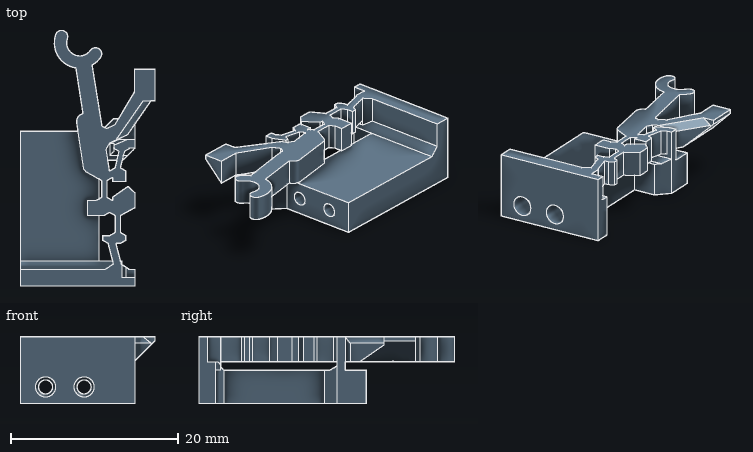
import cadquery as cq
import math

part_height = 8.0
base_height = 4.0
mechanism_bottom = 5.0

wall_width = 13.7
wall_thickness = 2.0
plate_width = 9.4
plate_length = 18.5
ramp_size = 1.0
ramp_end_x = 12.15

notch_wall = 1.05
notch_depth = 3.0
notch_groove_run = 0.47
notch_groove_drop = 0.24

hole_count = 2
hole_spacing = 4.6
hole_first_x = 3.0
hole_z = 2.0
bore_diameter = 2.4
bore_depth = 3.0
narrow_diameter = 1.65
slope_angle = 30.0

block_front_y = 15.0
block_back_y = 20.0
block_corner = 1.5
block_neck_x = 9.6

post_left_x = 11.15
post_front_y = 16.47
post_back_y = 17.5
post_taper_start = (post_left_x, 16.82)
post_taper_end = (12.75, post_back_y)
foot_height = 0.5
foot_side_run = 0.48
foot_front_run = foot_height / math.tan(math.radians(slope_angle))
foot_back_run = 0.4

flexure_half = 0.33
neck_run = 0.65
neck_rise = 0.37
overlap = 0.2

upper_flexure_x = 10.02
upper_flexure_top = 12.6
upper_flexure_bottom = 10.6
upper_left_x = upper_flexure_x - flexure_half
upper_right_x = upper_flexure_x + flexure_half

lower_flexure_x = 11.62
lower_flexure_top = 8.42
lower_flexure_bottom = 6.4
lower_left_x = lower_flexure_x - flexure_half
lower_right_x = lower_flexure_x + flexure_half

anchor_flexure_bottom = 14.12
anchor_flexure_lean = 0.48
anchor_flexure_top = post_front_y - neck_rise

root_center_x = 11.57
root_half_width = 1.45
root_top_y = 2.62
leg_half = 0.48
leg_top_x = 10.93
leg_top_y = 5.1

knuckle_left_x = 9.82
knuckle_right_x = lower_right_x + neck_run
knuckle_back_y = lower_flexure_bottom - neck_rise
knuckle_front_y = 5.47

shuttle_left_x = 7.98
shuttle_back_y = upper_flexure_bottom - neck_rise
shuttle_right_front_y = 9.37
shuttle_right_back_y = 11.1
shuttle_tip = (12.86, 11.92)
shuttle_step_y = 10.63

bracket_right_x = lower_right_x + neck_run
bracket_front_y = 12.47
bracket_back_y = anchor_flexure_bottom - neck_rise

rod_tip_left = (6.55, 26.4)
rod_tip_right = (8.52, 26.7)
rod_foot_left = (7.45, 20.6)
shoulder_middle = (6.9, 20.25)
shoulder_end = (6.7, 19.5)
body_front_left = (7.54, 13.98)
body_front_corner = (7.82, 13.65)
body_right_corner = (10.22, 16.33)
arm_root_front = (10.63, 17.07)
arm_root_back = (11.27, 19.27)
crotch_bottom = (10.3, 18.81)
crotch_left = (9.75, 19.09)

hook_center = (7.08, 29.05)
hook_mid_radius = 2.3
hook_half_width = 0.75
hook_start_angle = 161.0
hook_end_angle = 325.0

pad_left_x = 13.6
pad_right_x = 16.07
pad_front_y = 22.13
pad_back_y = 25.9
pad_edge_height = 0.5
arm_back_corner = (pad_left_x, 23.18)
arm_edge_start = (12.79, 18.08)
arm_edge_end = (15.6, pad_front_y)
arm_chamfer = 0.78


def prism(points, bottom, top):
    """Closed polygon in XY, extruded between two heights."""
    return cq.Workplane("XY").workplane(offset=bottom).polyline(points).close().extrude(top - bottom)


def link(points):
    """Part of the flexible linkage."""
    return prism(points, mechanism_bottom, part_height)


def polar(center, radius, degrees):
    angle = math.radians(degrees)
    return (center[0] + radius * math.cos(angle), center[1] + radius * math.sin(angle))


def make_base():
    plate = cq.Workplane("XY").box(plate_width, plate_length, base_height, centered=False)
    wall = cq.Workplane("XY").box(wall_width, wall_thickness, part_height, centered=False)
    ramp_foot_y = wall_thickness + ramp_size
    ramp = (
        cq.Workplane("YZ")
        .polyline([
            (0, 0),
            (ramp_foot_y, 0),
            (ramp_foot_y, base_height),
            (wall_thickness, base_height + ramp_size),
            (0, base_height + ramp_size),
        ])
        .close()
        .extrude(ramp_end_x)
    )
    return plate.union(wall).union(ramp)


def make_hole(x):
    bore = bore_diameter / 2
    narrow = narrow_diameter / 2
    step_end = bore_depth + (bore - narrow) * math.tan(math.radians(slope_angle))
    return (
        cq.Workplane("XY", origin=(x, 0, hole_z))
        .polyline([
            (0, 0),
            (bore, 0),
            (bore, bore_depth),
            (narrow, step_end),
            (narrow, plate_length),
            (0, plate_length),
        ])
        .close()
        .revolve(360, (0, 0, 0), (0, 1, 0))
    )


def make_block(top):
    """Corner block up to a given height, reaching slightly into the plate."""
    inside_x = plate_width - overlap
    return prism([
        (inside_x, block_front_y),
        (wall_width - block_corner, block_front_y),
        (wall_width, block_front_y + block_corner),
        (wall_width, block_back_y),
        (block_neck_x + block_corner, block_back_y),
        (block_neck_x, block_back_y - block_corner),
        (inside_x, block_back_y - block_corner),
    ], 0, top)


def make_post():
    """Upright anchor with sloped foot, trimmed to the outline of the corner block."""
    post = prism([
        (post_left_x, post_front_y),
        (wall_width, post_front_y),
        (wall_width, post_back_y),
        post_taper_end,
        post_taper_start,
    ], base_height, part_height)
    side_slope = (
        cq.Workplane("XZ", origin=(0, post_back_y, base_height))
        .polyline([
            (post_left_x - foot_side_run, 0),
            (wall_width, 0),
            (wall_width, foot_height),
            (post_left_x, foot_height),
            (post_left_x, foot_side_run * math.tan(math.radians(slope_angle))),
        ])
        .close()
        .extrude(post_back_y - post_front_y + foot_front_run)
    )
    front_slope = (
        cq.Workplane("YZ", origin=(plate_width, 0, base_height))
        .polyline([
            (post_front_y - foot_front_run, 0),
            (post_back_y, 0),
            (post_back_y, foot_height),
            (post_front_y, foot_height),
        ])
        .close()
        .extrude(wall_width - plate_width)
    )
    taper_x = post_taper_end[0] - post_taper_start[0]
    taper_y = post_taper_end[1] - post_taper_start[1]
    taper_plane = cq.Plane(
        origin=(post_taper_start[0], post_taper_start[1], base_height),
        xDir=(taper_y, -taper_x, 0),
        normal=(-taper_x, -taper_y, 0),
    )
    back_slope = (
        cq.Workplane(taper_plane)
        .polyline([(-foot_back_run, 0), (0, foot_height), (wall_width, foot_height), (wall_width, 0)])
        .close()
        .extrude(wall_width, both=True)
    )
    foot = side_slope.intersect(front_slope).intersect(back_slope)
    block_column = make_block(part_height)
    return post.union(foot).intersect(block_column)


def make_hook():
    inner = hook_mid_radius - hook_half_width
    outer = hook_mid_radius + hook_half_width
    middle_angle = (hook_start_angle + hook_end_angle) / 2
    cap_angle = math.degrees(hook_half_width / hook_mid_radius)
    outer_start = polar(hook_center, outer, hook_start_angle)
    outer_end = polar(hook_center, outer, hook_end_angle)
    inner_start = polar(hook_center, inner, hook_start_angle)
    inner_end = polar(hook_center, inner, hook_end_angle)
    start_tip = polar(hook_center, hook_mid_radius, hook_start_angle - cap_angle)
    end_tip = polar(hook_center, hook_mid_radius, hook_end_angle + cap_angle)
    return (
        cq.Workplane("XY").workplane(offset=mechanism_bottom)
        .moveTo(*outer_start)
        .threePointArc(polar(hook_center, outer, middle_angle), outer_end)
        .threePointArc(end_tip, inner_end)
        .threePointArc(polar(hook_center, inner, middle_angle), inner_start)
        .threePointArc(start_tip, outer_start)
        .close()
        .extrude(part_height - mechanism_bottom)
    )


def make_lever():
    """Rod, rounded body and bracket, down to the upper flexure."""
    return (
        cq.Workplane("XY").workplane(offset=mechanism_bottom)
        .moveTo(*rod_tip_left)
        .lineTo(*rod_foot_left)
        .threePointArc(shoulder_middle, shoulder_end)
        .lineTo(*body_front_left)
        .lineTo(*body_front_corner)
        .lineTo(upper_left_x, upper_flexure_top)
        .lineTo(upper_right_x, upper_flexure_top)
        .lineTo(upper_right_x + neck_run, upper_flexure_top + neck_rise)
        .lineTo(upper_right_x + neck_run, bracket_front_y)
        .lineTo(bracket_right_x, bracket_front_y)
        .lineTo(bracket_right_x, bracket_back_y)
        .lineTo(lower_right_x, anchor_flexure_bottom)
        .lineTo(lower_left_x, anchor_flexure_bottom)
        .lineTo(lower_left_x - neck_run, bracket_back_y)
        .lineTo(*body_right_corner)
        .lineTo(*arm_root_front)
        .lineTo(*arm_root_back)
        .lineTo(*crotch_bottom)
        .lineTo(*crotch_left)
        .lineTo(*rod_tip_right)
        .close()
        .extrude(part_height - mechanism_bottom)
    )


def make_side_arm():
    """Branch that ends in a pad, with chamfered outer edge and 45 degree underside."""
    arm = link([
        crotch_bottom,
        arm_root_front,
        arm_edge_start,
        arm_edge_end,
        arm_back_corner,
        arm_root_back,
    ])
    run_x = arm_edge_end[0] - arm_edge_start[0]
    run_y = arm_edge_end[1] - arm_edge_start[1]
    edge_plane = cq.Plane(
        origin=(arm_edge_start[0], arm_edge_start[1], part_height),
        xDir=(run_y, -run_x, 0),
        normal=(run_x, run_y, 0),
    )
    chamfer = (
        cq.Workplane(edge_plane)
        .polyline([(-arm_chamfer, 0), (0, 0), (0, arm_chamfer)])
        .close()
        .extrude(math.hypot(run_x, run_y) + arm_chamfer, both=True)
    )
    pad = link([
        (pad_left_x, pad_front_y),
        (pad_right_x, pad_front_y),
        (pad_right_x, pad_back_y),
        (pad_left_x, pad_back_y),
    ])
    underside_height = part_height - mechanism_bottom - pad_edge_height
    underside = (
        cq.Workplane("XZ", origin=(0, pad_back_y, 0))
        .polyline([
            (pad_right_x - underside_height, mechanism_bottom),
            (pad_right_x, mechanism_bottom),
            (pad_right_x, mechanism_bottom + underside_height),
        ])
        .close()
        .extrude(pad_back_y - block_front_y)
    )
    return arm.cut(chamfer).union(pad).cut(underside)


def make_shuttle():
    """Upper flexure and the block below it."""
    return link([
        (upper_left_x, upper_flexure_top + overlap),
        (upper_left_x, upper_flexure_bottom),
        (upper_left_x - neck_run, shuttle_back_y),
        (shuttle_left_x, shuttle_back_y),
        (shuttle_left_x, lower_flexure_top),
        (lower_left_x - 2 * neck_run, lower_flexure_top),
        (lower_left_x - neck_run, lower_flexure_top + neck_rise),
        (lower_left_x, lower_flexure_top),
        (lower_right_x, lower_flexure_top),
        (wall_width, shuttle_right_front_y),
        (wall_width, shuttle_right_back_y),
        shuttle_tip,
        (upper_right_x + neck_run, shuttle_step_y),
        (upper_right_x + neck_run, shuttle_back_y),
        (upper_right_x, upper_flexure_bottom),
        (upper_right_x, upper_flexure_top + overlap),
    ])


def make_knuckle():
    """Lower flexure, knuckle and the leaning leg that reaches the wall root."""
    return link([
        (lower_left_x, lower_flexure_top + overlap),
        (lower_left_x, lower_flexure_bottom),
        (lower_left_x - neck_run, knuckle_back_y),
        (knuckle_left_x, knuckle_back_y),
        (knuckle_left_x, knuckle_front_y),
        (leg_top_x - leg_half, leg_top_y),
        (root_center_x - leg_half, root_top_y),
        (root_center_x + leg_half, root_top_y),
        (leg_top_x + leg_half, leg_top_y),
        (knuckle_right_x - neck_run, leg_top_y),
        (knuckle_right_x, knuckle_front_y),
        (knuckle_right_x, knuckle_back_y),
        (lower_right_x, lower_flexure_bottom),
        (lower_right_x, lower_flexure_top + overlap),
    ])


def make_root():
    """Tapered foot of the leg on the back of the wall."""
    return prism([
        (root_center_x - root_half_width, wall_thickness),
        (root_center_x - leg_half, root_top_y),
        (root_center_x + leg_half, root_top_y),
        (root_center_x + root_half_width, wall_thickness),
    ], base_height, part_height)


def make_anchor_flexure():
    """Leaning flexure from the bracket up to the anchor post."""
    top_left_x = lower_left_x + anchor_flexure_lean
    top_right_x = lower_right_x + anchor_flexure_lean
    return link([
        (lower_left_x, anchor_flexure_bottom),
        (top_left_x, anchor_flexure_top),
        (top_left_x - neck_run, post_front_y),
        (top_right_x + neck_run, post_front_y),
        (top_right_x, anchor_flexure_top),
        (lower_right_x, anchor_flexure_bottom),
    ])


def make_notch():
    floor_z = part_height - notch_depth
    return (
        cq.Workplane("XZ", origin=(0, root_top_y, 0))
        .polyline([
            (ramp_end_x, part_height),
            (ramp_end_x, floor_z - notch_groove_drop),
            (ramp_end_x + notch_groove_run, floor_z),
            (wall_width, floor_z),
            (wall_width, part_height),
        ])
        .close()
        .extrude(root_top_y - notch_wall)
    )


result = make_base().union(make_root()).cut(make_notch())
result = result.union(make_block(base_height)).union(make_post()).union(make_anchor_flexure())
result = result.union(make_hook()).union(make_lever()).union(make_side_arm())
result = result.union(make_shuttle()).union(make_knuckle())
for index in range(hole_count):
    result = result.cut(make_hole(hole_first_x + index * hole_spacing))